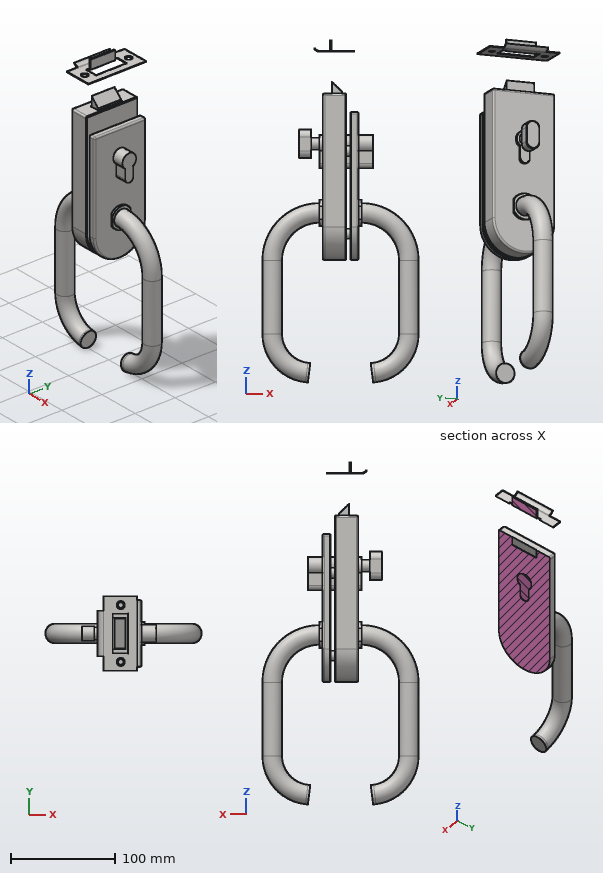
import cadquery as cq
import math


overall_width = 150.5
tube_radius = 9.5
upper_bend_radius = 45.5
grip_length = 70.8
lower_bend_radius = 37.5
lower_bend_angle = 83
handle_tip_length = 2.5
grip_x = overall_width / 2 - tube_radius
rose_face_x = grip_x - upper_bend_radius

case_front_x = -17.0
case_back_x = 5.5
case_top_z = 115.0
plate_inner_x = 9.5
plate_outer_x = 17.5
plate_top_z = 97.0
body_radius = 32.3
body_arc_z = -13.2
outer_rounding = 2.0
inner_chamfer = 1.0

boss_radius = 5.0
boss_offset_y = 14.8
boss_heights = (59.5, -20.0)

rose_radius = 13.0
rose_half_width = 11.2

barrel_radius = 8.5
barrel_z = 66.5
web_radius = 5.0
web_z = 47.7
cylinder_back_x = 31.3

stem_radius = 6.0
knob_radius = 7.0
knob_arc_offset = 7.0
knob_front_x = -40.0
knob_back_x = -28.3
knob_chamfer = 0.5

latch_front_x = -8.2
latch_back_x = 1.5
latch_projection = 11.2
latch_heel = 1.5
latch_width = 28.5
latch_depth_in_case = 10
latch_clearance = 0.5

strike_length = 72.0
strike_front_x = -19.5
strike_back_x = 13.2
strike_z = 154.7
strike_thickness = 1.0
lip_radius = 7.0
lip_angle = 54
lip_width = 44.0
window_front_x = -10.2
window_back_x = 4.3
window_width = 38.2
tab_width = 30.5
tab_thickness = 2.0
tab_height = 11.2
screw_radius = 2.5
countersink_radius = 4.0
screw_x = -2.5
screw_offset_y = 27.3
strike_mid_x = (strike_front_x + strike_back_x) / 2


def round_ended_slab(start_x, end_x, top_z):
    """Upright slab between two X planes, square at the top and semicircular at the bottom."""
    return (
        cq.Workplane("YZ", origin=(start_x, 0, 0))
        .moveTo(-body_radius, top_z)
        .lineTo(-body_radius, body_arc_z)
        .threePointArc((0, body_arc_z - body_radius), (body_radius, body_arc_z))
        .lineTo(body_radius, top_z)
        .close()
        .extrude(end_x - start_x)
    )


def cylinder_profile(start_x, end_x):
    """Round barrel with a narrower round-ended web below it."""
    length = end_x - start_x
    barrel = cq.Workplane("YZ", origin=(start_x, 0, barrel_z)).circle(barrel_radius).extrude(length)
    web_end = cq.Workplane("YZ", origin=(start_x, 0, web_z)).circle(web_radius).extrude(length)
    web = cq.Workplane("XY").box(
        length, 2 * web_radius, barrel_z - web_z, centered=(False, True, False)
    ).translate((start_x, 0, web_z))
    return barrel.union(web).union(web_end)


def make_latch_pocket():
    """Space for the latch in the top of the case, with clearance on all four sides."""
    length = latch_back_x - latch_front_x + 2 * latch_clearance
    width = latch_width + 2 * latch_clearance
    pocket = cq.Workplane("XY").box(length, width, latch_depth_in_case, centered=(False, True, False))
    return pocket.translate((latch_front_x - latch_clearance, 0, case_top_z - latch_depth_in_case))


def make_case():
    slab = round_ended_slab(case_front_x, case_back_x, case_top_z)
    slab = slab.faces("<X").edges().add(slab.faces(">Z").edges("|X")).fillet(outer_rounding)
    slab = slab.faces(">X").edges().chamfer(inner_chamfer)
    return slab.cut(cylinder_profile(case_front_x, case_back_x)).cut(make_latch_pocket())


def make_counter_plate():
    slab = round_ended_slab(plate_inner_x, plate_outer_x, plate_top_z)
    slab = slab.faces(">X").edges().add(slab.faces(">Z").edges("|X")).fillet(outer_rounding)
    slab = slab.faces("<X").edges().chamfer(inner_chamfer)
    boss_points = [(side * boss_offset_y, z) for side in (-1, 1) for z in boss_heights]
    bosses = (
        cq.Workplane("YZ", origin=(case_back_x, 0, 0))
        .pushPoints(boss_points)
        .circle(boss_radius)
        .extrude(plate_inner_x - case_back_x)
    )
    return slab.union(bosses).cut(cylinder_profile(plate_inner_x, plate_outer_x))


def make_latch():
    """Bolt with a sloped nose, standing on the floor of its pocket in the case."""
    return (
        cq.Workplane("XZ", origin=(0, latch_width / 2, case_top_z))
        .moveTo(latch_front_x, -latch_depth_in_case)
        .lineTo(latch_back_x, -latch_depth_in_case)
        .lineTo(latch_back_x, latch_heel)
        .lineTo(latch_front_x, latch_projection)
        .close()
        .extrude(latch_width)
    )


def make_rose(side, mount_x):
    """Disc with flat sides, on the face at mount_x; side is -1 or 1 along X."""
    face_x = side * rose_face_x
    disc = cq.Workplane("YZ", origin=(mount_x, 0, 0)).circle(rose_radius).extrude(face_x - mount_x)
    flats = cq.Workplane("XY").box(2 * overall_width, 2 * rose_half_width, 2 * rose_radius)
    return disc.intersect(flats)


def make_handle(side):
    """Bent round bar that starts at the rose; side is -1 or 1 along X."""
    eighth_turn = math.radians(45)
    upper_mid = (
        rose_face_x + upper_bend_radius * math.sin(eighth_turn),
        -upper_bend_radius * (1 - math.cos(eighth_turn)),
    )
    grip_bottom_z = -upper_bend_radius - grip_length
    lower_centre_x = grip_x - lower_bend_radius

    def lower_bend_point(angle):
        return (
            lower_centre_x + lower_bend_radius * math.cos(angle),
            grip_bottom_z - lower_bend_radius * math.sin(angle),
        )

    end_angle = math.radians(lower_bend_angle)
    bend_end = lower_bend_point(end_angle)
    tip = (
        bend_end[0] - handle_tip_length * math.sin(end_angle),
        bend_end[1] - handle_tip_length * math.cos(end_angle),
    )
    path = (
        cq.Workplane("XZ")
        .moveTo(rose_face_x, 0)
        .threePointArc(upper_mid, (grip_x, -upper_bend_radius))
        .lineTo(grip_x, grip_bottom_z)
        .threePointArc(lower_bend_point(end_angle / 2), bend_end)
        .lineTo(*tip)
    )
    handle = cq.Workplane("YZ", origin=(rose_face_x, 0, 0)).circle(tube_radius).sweep(path)
    return handle if side > 0 else handle.mirror("YZ")


def make_cylinder():
    return cylinder_profile(-rose_face_x, cylinder_back_x)


def make_thumb_turn():
    knob = (
        cq.Workplane("YZ", origin=(knob_front_x, 0, barrel_z))
        .slot2D(2 * (knob_arc_offset + knob_radius), 2 * knob_radius, 90)
        .extrude(knob_back_x - knob_front_x)
        .faces("<X")
        .edges()
        .chamfer(knob_chamfer)
    )
    stem = (
        cq.Workplane("YZ", origin=(knob_back_x, 0, barrel_z))
        .circle(stem_radius)
        .extrude(-rose_face_x - knob_back_x)
    )
    return knob.union(stem)


def make_strike_plate():
    plate = cq.Workplane("XY").box(
        strike_back_x - strike_front_x, strike_length, strike_thickness, centered=(True, True, False)
    ).translate((strike_mid_x, 0, strike_z))
    lip = (
        cq.Workplane("YZ", origin=(strike_front_x, 0, strike_z + strike_thickness / 2))
        .rect(lip_width, strike_thickness)
        .revolve(lip_angle, (0, lip_radius, 0), (1, lip_radius, 0))
    )
    window = cq.Workplane("XY").box(
        window_back_x - window_front_x, window_width, strike_thickness, centered=(False, True, False)
    ).translate((window_front_x, 0, strike_z))
    plate = plate.union(lip).cut(window)
    for side in (-1, 1):
        screw_seat = cq.Vector(screw_x, side * screw_offset_y, strike_z)
        screw_hole = cq.Solid.makeCone(screw_radius, countersink_radius, strike_thickness, screw_seat)
        plate = plate.cut(cq.Workplane(screw_hole))
    tab = cq.Workplane("XY").box(
        tab_thickness, tab_width, tab_height, centered=(False, True, False)
    ).translate((window_front_x, 0, strike_z))
    return plate.union(tab)


case = make_case()
counter_plate = make_counter_plate()
latch = make_latch()
roses = [make_rose(-1, case_front_x), make_rose(1, plate_outer_x)]
handles = [make_handle(side) for side in (-1, 1)]
cylinder = make_cylinder()
thumb_turn = make_thumb_turn()
strike_plate = make_strike_plate()

bodies = [case, counter_plate, latch, *roses, *handles, cylinder, thumb_turn, strike_plate]
result = cq.Compound.makeCompound([body.solids().val() for body in bodies])